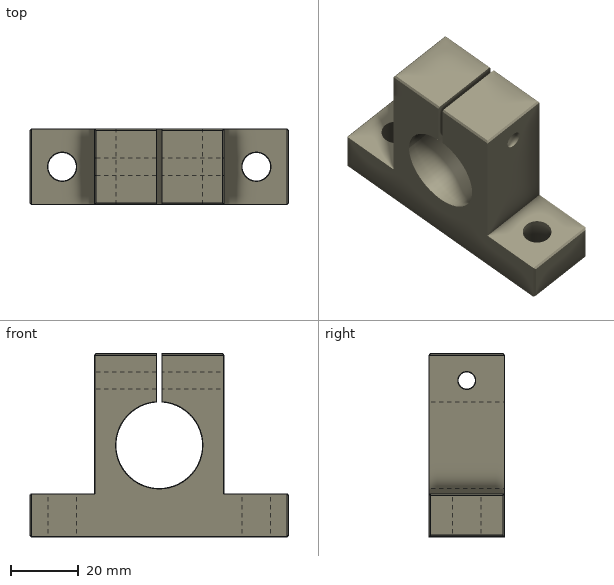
import cadquery as cq

base_length = 76.2
depth = 22.225
total_height = 53.975
base_height = 12.7
block_width = 38.1
bore_diameter = 25.53
bore_height = 26.9875
slit_width = 1.5875
mount_hole_diameter = 8.433
mount_hole_spacing = 57.15
clamp_hole_diameter = 5.1054
clamp_hole_height = 46.0375
edge_chamfer = 0.508


def make_base():
    """Flat foot with every edge of its two end faces chamfered."""
    foot = cq.Workplane("XY").box(base_length, depth, base_height, centered=(True, True, False))
    return foot.faces("<X or >X").edges().chamfer(edge_chamfer)


def make_block():
    """Upright clamp block with its top rim chamfered."""
    block = cq.Workplane("XY").box(block_width, depth, total_height, centered=(True, True, False))
    return block.faces(">Z").edges().chamfer(edge_chamfer)


def make_bore():
    """Shaft bore running front to back."""
    bore = cq.Workplane("XZ").center(0, bore_height).circle(bore_diameter / 2)
    return bore.extrude(depth / 2, both=True)


def make_slit():
    """Clamping slit from the bore up through the top."""
    slit_height = total_height - bore_height
    slit = cq.Workplane("XY").workplane(offset=bore_height)
    return slit.box(slit_width, depth, slit_height, centered=(True, True, False))


def make_mount_holes():
    """Vertical bolt holes, one on each side of the foot."""
    centres = [(side * mount_hole_spacing / 2, 0) for side in (-1, 1)]
    return cq.Workplane("XY").pushPoints(centres).circle(mount_hole_diameter / 2).extrude(base_height)


def make_clamp_hole():
    """Clamp screw hole crossing both jaws above the bore."""
    hole = cq.Workplane("YZ").center(0, clamp_hole_height).circle(clamp_hole_diameter / 2)
    return hole.extrude(block_width / 2, both=True)


result = make_base().union(make_block())
for cutter in (make_bore(), make_slit(), make_mount_holes(), make_clamp_hole()):
    result = result.cut(cutter)